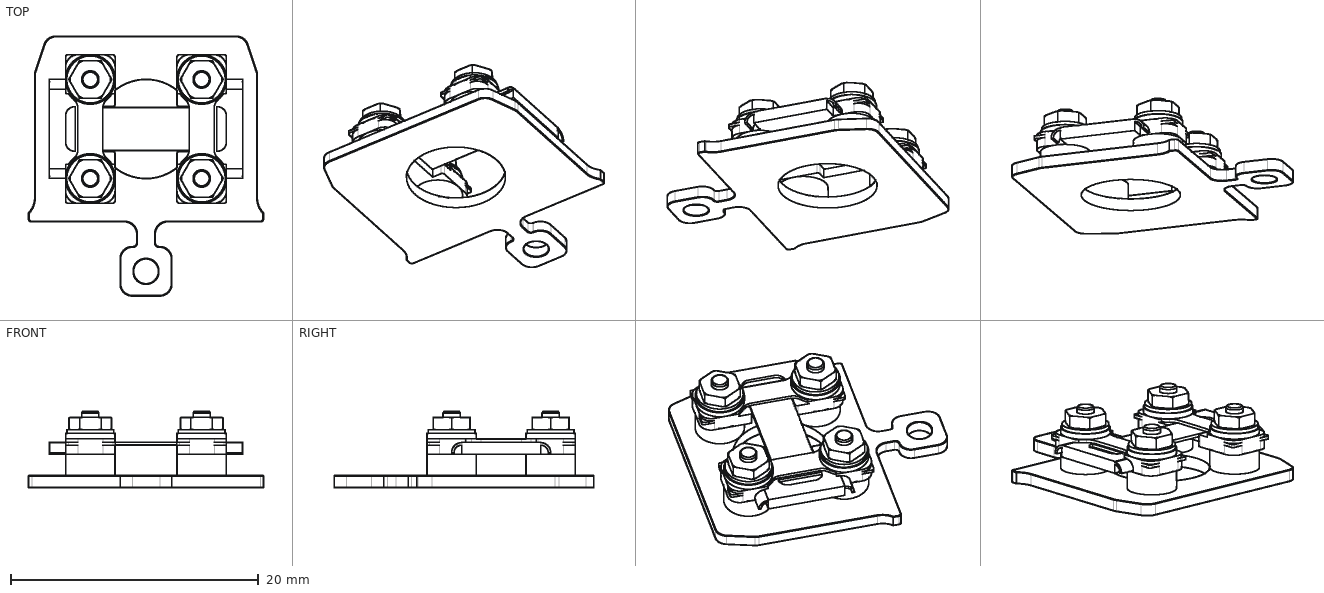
import cadquery as cq
import math

PLATE_T = 1.0
PLATE_EDGE_CHAMFER = 0.05
PLATE_HALF_W = 9.0
PLATE_HALF_L = 7.5
TOP_HALF_W = 8.0
SHOULDER_Y = 4.5
SHOULDER_R = 1.0
EAR_HALF_W = 9.5
EAR_TIP_Y = -6.8
EAR_BLEND_Y = -6.25
EAR_BLEND_R = 1.7
EAR_CORNER_R = 0.25
WINDOW_R = 4.0

NECK_HALF_W = 0.75
NECK_ROOT_R = 1.0
NECK_TAB_R = 0.3
TAB_HALF_W = 2.1
TAB_TOP_Y = -9.5
TAB_BOTTOM_Y = -13.5
TAB_CORNER_R = 1.0
EYELET_R = 1.0

BOLT_X = 4.5
BOLT_Y = 4.0
STANDOFF_R = 2.0
STANDOFF_TOP = 2.7
BLOCK_INNER_Y = 1.8
BLOCK_CORNER_R = 1.0

SHEET_T = 0.25
LIP_Z = 3.45
CARRIER_TOP = LIP_Z + SHEET_T
PAD_LIP_R = 0.2
WING_END_X = 7.8
WING_HALF_L = 4.0
CURL_R = 0.8
CURL_T = 0.2
CURL_STEP = 0.05
BRIDGE_HALF_W = 1.75
SLOT_W = 0.8
SLOT_CORNER_R = 0.75

STRAP_TOP = CARRIER_TOP + SHEET_T
STRAP_NECK_HALF_W = 1.0
STRAP_RING_R = 2.1
STRAP_SHOULDER = 1.15
STRAP_OUTER_R = 1.0
STRAP_INNER_R = 0.1
STRAP_NECK_R = 1.0

WASHER_R = 2.0
WASHER_TOP = 4.4
SPRING_WASHER_R = 1.9
SPRING_WASHER_TOP = 4.7
NUT_FLATS = 3.0
NUT_TOP = 5.7
NUT_CHAMFER_R = 1.62
NUT_CHAMFER_ANGLE = 30.0
STUD_R = 0.7
STUD_TOP = 6.18
STUD_CHAMFER_W = 0.1
STUD_CHAMFER_H = 0.15


def rounded_outline(corners, z=0.0):
    """Closed wire through (x, y, radius) corners, each rounded by a tangent arc."""
    path = None
    for i, (x, y, r) in enumerate(corners):
        here = cq.Vector(x, y)
        before = (cq.Vector(*corners[i - 1][:2]) - here).normalized()
        after = (cq.Vector(*corners[(i + 1) % len(corners)][:2]) - here).normalized()
        half_angle = before.getAngle(after) / 2
        start = here + before * (r / math.tan(half_angle))
        end = here + after * (r / math.tan(half_angle))
        bisector = (before + after).normalized()
        middle = here + bisector * (r / math.sin(half_angle) - r)
        if path is None:
            path = cq.Workplane("XY").workplane(offset=z).moveTo(start.x, start.y)
        else:
            path = path.lineTo(start.x, start.y)
        if r > 0:
            path = path.threePointArc((middle.x, middle.y), (end.x, end.y))
    return path.close()


def box(x0, x1, y0, y1, z0, z1):
    return cq.Workplane("XY").box(x1 - x0, y1 - y0, z1 - z0, centered=False).translate((x0, y0, z0))


def disc(radius, z0, z1):
    return cq.Workplane("XY").workplane(offset=z0).circle(radius).extrude(z1 - z0)


def mirrored(solid, plane):
    return solid.union(solid.mirror(plane))


def base_plate():
    right_side = [
        (NECK_HALF_W, -PLATE_HALF_L, NECK_ROOT_R),
        (EAR_HALF_W, -PLATE_HALF_L, EAR_CORNER_R),
        (EAR_HALF_W, EAR_TIP_Y, 0),
        (PLATE_HALF_W, EAR_BLEND_Y, EAR_BLEND_R),
        (PLATE_HALF_W, SHOULDER_Y, SHOULDER_R),
        (TOP_HALF_W, PLATE_HALF_L, SHOULDER_R),
    ]
    right_tab = [
        (TAB_HALF_W, TAB_BOTTOM_Y, TAB_CORNER_R),
        (TAB_HALF_W, TAB_TOP_Y, TAB_CORNER_R),
        (NECK_HALF_W, TAB_TOP_Y, NECK_TAB_R),
    ]
    right = right_tab + right_side
    left = [(-x, y, r) for x, y, r in reversed(right)]
    plate = rounded_outline(right + left).extrude(PLATE_T)
    eyelet = disc(EYELET_R, 0, PLATE_T).translate((0, (TAB_TOP_Y + TAB_BOTTOM_Y) / 2, 0))
    plate = plate.cut(eyelet).faces("<Z or >Z").edges().chamfer(PLATE_EDGE_CHAMFER)
    return plate.cut(disc(WINDOW_R, 0, PLATE_T))


def hex_nut():
    """Hexagon with two corners on the X axis and both ends chamfered."""
    corner_r = NUT_FLATS / math.sqrt(3)
    height = NUT_TOP - SPRING_WASHER_TOP
    drop = (corner_r - NUT_CHAMFER_R) * math.tan(math.radians(NUT_CHAMFER_ANGLE))
    nut = cq.Workplane("XY").polygon(6, 2 * corner_r).extrude(height)
    envelope = (
        cq.Workplane("XZ")
        .polyline([
            (0, 0),
            (NUT_CHAMFER_R, 0),
            (corner_r, drop),
            (corner_r, height - drop),
            (NUT_CHAMFER_R, height),
            (0, height),
        ])
        .close()
        .revolve(360, (0, 0, 0), (0, 1, 0))
    )
    return nut.intersect(envelope).translate((0, 0, SPRING_WASHER_TOP))


def stud():
    body = disc(STUD_R, PLATE_T, STUD_TOP)
    return body.faces(">Z").chamfer(STUD_CHAMFER_H, STUD_CHAMFER_W)


def fastener():
    """Post, washers, nut and stud stacked on the +X, +Y bolt axis."""
    stack = disc(STANDOFF_R, PLATE_T, STANDOFF_TOP)
    stack = stack.union(disc(WASHER_R, STRAP_TOP, WASHER_TOP))
    stack = stack.union(disc(SPRING_WASHER_R, WASHER_TOP, SPRING_WASHER_TOP))
    stack = stack.union(hex_nut()).union(stud())
    return stack.translate((BOLT_X, BOLT_Y, 0))


def pad(outer_r, inner_r, z0, z1):
    """Rectangular pad under the +X, +Y fastener with its own outer and inner corner radii."""
    x0 = BOLT_X - STANDOFF_R
    x1 = BOLT_X + STANDOFF_R
    outer_y = BOLT_Y + STANDOFF_R
    corners = [
        (x0, BLOCK_INNER_Y, inner_r),
        (x1, BLOCK_INNER_Y, inner_r),
        (x1, outer_y, outer_r),
        (x0, outer_y, outer_r),
    ]
    return rounded_outline(corners, z0).extrude(z1 - z0)


def wing():
    """+X wing: solid bar with a shallow slot in its top and thin curls along both ends."""
    inner_x = BOLT_X - STRAP_NECK_HALF_W
    pad_x = BOLT_X + STANDOFF_R
    bar_half = WING_HALF_L - CURL_R
    bar = box(inner_x, WING_END_X, -bar_half, bar_half, STANDOFF_TOP, CARRIER_TOP)
    slot_corners = [
        (pad_x - SLOT_W, -BLOCK_INNER_Y, 0),
        (pad_x, -BLOCK_INNER_Y, SLOT_CORNER_R),
        (pad_x, BLOCK_INNER_Y, SLOT_CORNER_R),
        (pad_x - SLOT_W, BLOCK_INNER_Y, 0),
    ]
    slot = rounded_outline(slot_corners, LIP_Z).extrude(SHEET_T)
    length = WING_END_X - pad_x
    ring = cq.Workplane("YZ").circle(CURL_R).circle(CURL_R - CURL_T).extrude(length)
    curl = ring.intersect(box(0, length, 0, CURL_R, 0, CURL_R))
    curl = curl.translate((pad_x, bar_half, CARRIER_TOP - CURL_STEP - CURL_R))
    return bar.cut(slot).union(mirrored(curl, "XZ"))


def bridge():
    """Thin strip that joins the two wings."""
    end_x = BOLT_X - STRAP_NECK_HALF_W
    return box(-end_x, end_x, -BRIDGE_HALF_W, BRIDGE_HALF_W, LIP_Z, CARRIER_TOP)


def strap():
    """+X strap: a rounded square end with a ring at each bolt, joined by a narrow neck."""
    thickness = STRAP_TOP - CARRIER_TOP
    square_corners = [
        (-STANDOFF_R, -STRAP_SHOULDER, STRAP_INNER_R),
        (STANDOFF_R, -STRAP_SHOULDER, STRAP_INNER_R),
        (STANDOFF_R, STANDOFF_R, STRAP_OUTER_R),
        (-STANDOFF_R, STANDOFF_R, STRAP_OUTER_R),
    ]
    square = rounded_outline(square_corners, CARRIER_TOP).extrude(thickness)
    below_axis = box(-STANDOFF_R, STANDOFF_R, -STRAP_RING_R, 0, CARRIER_TOP, STRAP_TOP)
    ring = disc(STRAP_RING_R, CARRIER_TOP, STRAP_TOP).intersect(below_axis)
    half_w = STRAP_NECK_HALF_W
    neck = box(-half_w, half_w, -BOLT_Y, 0, CARRIER_TOP, STRAP_TOP)
    joint_y = -math.sqrt(STRAP_RING_R**2 - half_w**2)
    end = square.union(ring).union(neck)
    for side in (-1, 1):
        joint = cq.selectors.NearestToPointSelector((side * half_w, joint_y, CARRIER_TOP + thickness / 2))
        end = end.edges("|Z").edges(joint).fillet(STRAP_NECK_R)
    return mirrored(end.translate((BOLT_X, BOLT_Y, 0)), "XZ")


def side_assembly():
    """Everything that stands on the plate on the +X side."""
    block = pad(BLOCK_CORNER_R, PAD_LIP_R, STANDOFF_TOP, LIP_Z)
    lip = pad(PAD_LIP_R, PAD_LIP_R, LIP_Z, CARRIER_TOP)
    quarter = fastener().union(block).union(lip)
    return mirrored(quarter, "XZ").union(wing()).union(strap())


result = base_plate().union(mirrored(side_assembly(), "YZ")).union(bridge())